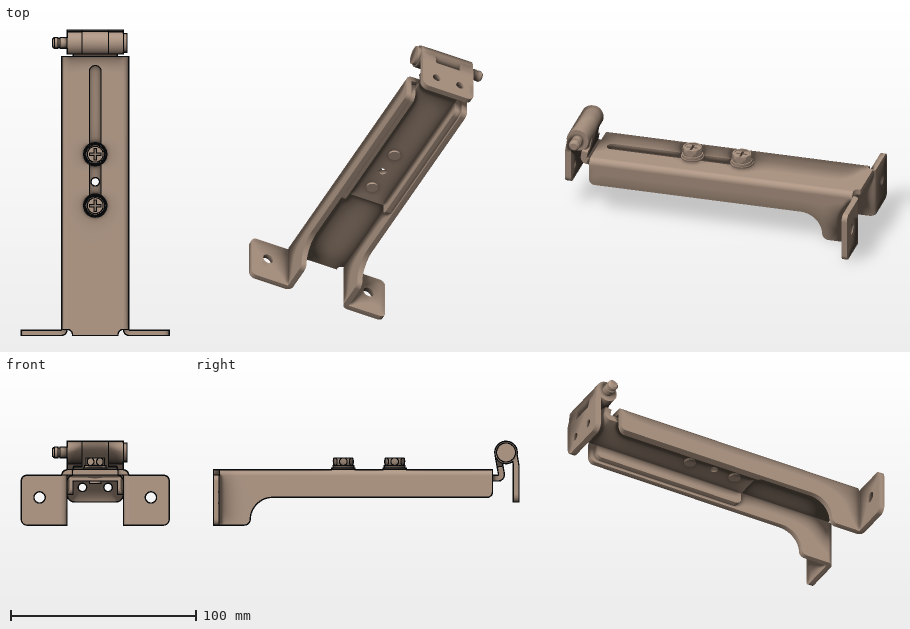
import cadquery as cq
import math

BRACKET_T = 3.0
BRACKET_WIDTH = 36.3
BRACKET_END = 150.6
BRACKET_TOP = 30.0
FLANGE_BOTTOM = BRACKET_TOP / 2
FLANGE_CORNER_R = 3.0
INNER_BEND_R = 0.3
OUTER_BEND_R = BRACKET_T + INNER_BEND_R
PLATE_UNDERSIDE = BRACKET_TOP - BRACKET_T
CHANNEL_INSIDE = BRACKET_WIDTH - 2 * BRACKET_T

LEG_DEPTH = 20.0
LEG_INNER_R = 12.0
LEG_CORNER_R = 3.3

WING_SPAN = 80.0
WING_CORNER_R = 3.3
WING_HOLE_D = 6.0
WING_HOLE_X = 30.0
WING_HOLE_Z = 15.0
RELIEF_WIDTH = 2.8
RELIEF_R = 2.6
RELIEF_DEPTH = OUTER_BEND_R

LEAF_T = 3.3
LEAF_WIDTH = CHANNEL_INSIDE
PIN_D = 6.0
KNUCKLE_R = 6.1
AXIS_Y = 157.9
OVERALL_HEIGHT = 45.4
AXIS_Z = OVERALL_HEIGHT - KNUCKLE_R
MIDDLE_KNUCKLE = 14.5
TILT = 10
SIN_TILT = math.sin(math.radians(TILT))
COS_TILT = math.cos(math.radians(TILT))
LEAF_OUTER_BEND_R = LEAF_T + INNER_BEND_R

WALL_LEAF_FACE = 165
WALL_LEAF_BOTTOM = 12.5
WALL_LEAF_CORNER_R = 4.0
WALL_HOLE_D = 4.5
WALL_HOLE_X = 7.0
WALL_HOLE_Z = 20.5
WINDOW_BOTTOM = 31.4

SLIDE_FRONT = 59.4
SLIDE_FLANGE_REAR = 148.5
SLIDE_FLANGE_BOTTOM = 16.7
SLIDE_FLANGE_R = 3.3
TONGUE_WIDTH = LEAF_WIDTH - 2 * LEAF_T
SHOULDER_DROP = 7.0
SHOULDER_R = 1.0
MIDDLE_HOLE_D = 4.5
MIDDLE_HOLE_Y = 83.0

PIN_TIP_X = -23.1
PIN_TIP_CHAMFER = 1.0
PIN_HEAD_X = 17.2
PIN_HEAD_D = 10.2
GROOVE_X = -19.6
GROOVE_WIDTH = 1.0
GROOVE_D = 5.0

BOLT_YS = (70.1, 97.8)
SHANK_D = 6.5
SHANK_TIP = 22.6
SLOT_WIDTH = SHANK_D
SLOT_END = 145.7
FLAT_WASHER_D = 12.5
FLAT_WASHER_T = 0.8
SPRING_WASHER_D = 11.4
SPRING_WASHER_T = 1.5
HEAD_HEIGHT = 4.0
HEAD_SPHERE_R = 5.5
HEAD_ACROSS_FLATS = 10.0
DISH_D = 8.5
DISH_DEPTH = 0.5
CROSS_LENGTH = 6.3
CROSS_WIDTH = 1.3
CROSS_CENTRE = 2.0
CROSS_DEPTH = 2.0


def box(x0, x1, y0, y1, z0, z1):
    return cq.Workplane("XY").box(x1 - x0, y1 - y0, z1 - z0, centered=False).translate((x0, y0, z0))


def rod_x(diameter, x0, x1):
    """Cylinder on the hinge axis."""
    return cq.Workplane("YZ", origin=(x0, AXIS_Y, AXIS_Z)).circle(diameter / 2).extrude(x1 - x0)


def drill_z(diameter, y):
    """Vertical cutter on the centre plane, through every plate of the channel."""
    return cq.Workplane("XY", origin=(0, y, 0)).circle(diameter / 2).extrude(BRACKET_TOP)


def channel(width, top, thickness, bottom, outer_r, y0, y1):
    """Downward-opening channel along Y with rounded bends."""
    outer = box(-width / 2, width / 2, y0, y1, bottom, top).edges("|Y and >Z").fillet(outer_r)
    inside = width / 2 - thickness
    inner = box(-inside, inside, y0, y1, bottom, top - thickness)
    return outer.cut(inner.edges("|Y and >Z").fillet(INNER_BEND_R))


def flange_outline():
    """Slab with the side profile of both flanges: shallow along the channel, deep at the front legs."""
    profile = (
        cq.Workplane("YZ", origin=(-WING_SPAN / 2, 0, 0))
        .moveTo(0, 0)
        .lineTo(LEG_DEPTH - LEG_CORNER_R, 0)
        .radiusArc((LEG_DEPTH, LEG_CORNER_R), -LEG_CORNER_R)
        .radiusArc((LEG_DEPTH + LEG_INNER_R, FLANGE_BOTTOM), LEG_INNER_R)
        .lineTo(BRACKET_END - FLANGE_CORNER_R, FLANGE_BOTTOM)
        .radiusArc((BRACKET_END, FLANGE_BOTTOM + FLANGE_CORNER_R), -FLANGE_CORNER_R)
        .lineTo(BRACKET_END, BRACKET_TOP)
        .lineTo(0, BRACKET_TOP)
        .close()
    )
    return profile.extrude(WING_SPAN)


def wing():
    """Right-hand mounting wing with the bend that joins it to its flange."""
    inner_x = CHANNEL_INSIDE / 2
    outer_x = BRACKET_WIDTH / 2
    tip_x = WING_SPAN / 2
    plan = (
        cq.Workplane("XY")
        .moveTo(inner_x, OUTER_BEND_R)
        .radiusArc((inner_x + OUTER_BEND_R, 0), -OUTER_BEND_R)
        .lineTo(tip_x, 0)
        .lineTo(tip_x, BRACKET_T)
        .lineTo(outer_x + INNER_BEND_R, BRACKET_T)
        .radiusArc((outer_x, OUTER_BEND_R), INNER_BEND_R)
        .close()
    )
    plate = plan.extrude(PLATE_UNDERSIDE).edges("|Y and >X").fillet(WING_CORNER_R)
    hole = cq.Workplane("XZ", origin=(WING_HOLE_X, BRACKET_T, WING_HOLE_Z)).circle(WING_HOLE_D / 2)
    return plate.cut(hole.extrude(BRACKET_T))


def bend_relief():
    """Cutter that frees the right-hand end of the top bend from its wing."""
    notch_x = CHANNEL_INSIDE / 2 - RELIEF_WIDTH
    notch = box(notch_x, BRACKET_WIDTH, -RELIEF_DEPTH, RELIEF_DEPTH, PLATE_UNDERSIDE, BRACKET_TOP)
    return notch.edges("|Z and <X and >Y").fillet(RELIEF_R)


def bolt_slot():
    first_y = BOLT_YS[0]
    last_y = SLOT_END - SLOT_WIDTH / 2
    middle = cq.Workplane("XY", origin=(0, (first_y + last_y) / 2, 0))
    return middle.slot2D(last_y - first_y + SLOT_WIDTH, SLOT_WIDTH, 90).extrude(BRACKET_TOP)


def make_bracket():
    body = channel(BRACKET_WIDTH, BRACKET_TOP, BRACKET_T, 0, OUTER_BEND_R, 0, BRACKET_END)
    body = body.intersect(flange_outline())
    flange_root = CHANNEL_INSIDE / 2 - INNER_BEND_R
    for side in (-1, 1):
        bend_x = sorted((side * flange_root, side * BRACKET_WIDTH / 2))
        body = body.cut(box(*bend_x, 0, OUTER_BEND_R, 0, PLATE_UNDERSIDE))
        body = body.cut(bend_relief().mirror("YZ") if side < 0 else bend_relief())
        body = body.union(wing().mirror("YZ") if side < 0 else wing())
    return body.cut(bolt_slot())


def leaf_point(side, radius, drop):
    """Point (y, z) on a tilted leaf face tangent to a circle about the hinge axis.

    `side` is 1 behind the axis and -1 in front; `drop` is measured down the face from the start
    of the leaf. Both leaves lean rearward going down.
    """
    return (
        AXIS_Y + side * radius * COS_TILT + drop * SIN_TILT,
        AXIS_Z - radius * SIN_TILT - drop * COS_TILT,
    )


def drop_to_y(side, radius, y):
    return (y - AXIS_Y - side * radius * COS_TILT) / SIN_TILT


def make_wall_leaf():
    core_r = KNUCKLE_R - LEAF_T
    half = LEAF_WIDTH / 2
    front_face = WALL_LEAF_FACE - LEAF_T
    rear_drop = drop_to_y(1, KNUCKLE_R, WALL_LEAF_FACE)
    front_drop = drop_to_y(1, core_r, front_face)
    profile = [
        leaf_point(1, core_r, 0),
        leaf_point(1, KNUCKLE_R, 0),
        leaf_point(1, KNUCKLE_R, rear_drop),
        (WALL_LEAF_FACE, WALL_LEAF_BOTTOM),
        (front_face, WALL_LEAF_BOTTOM),
        leaf_point(1, core_r, front_drop),
    ]
    plate = cq.Workplane("YZ", origin=(-half, 0, 0)).polyline(profile).close().extrude(LEAF_WIDTH)
    plate = plate.edges("|Y and <Z").fillet(WALL_LEAF_CORNER_R)
    leaf = plate.union(rod_x(2 * KNUCKLE_R, -half, half))
    gap = MIDDLE_KNUCKLE / 2
    window = box(-gap, gap, AXIS_Y - KNUCKLE_R, WALL_LEAF_FACE, WINDOW_BOTTOM, OVERALL_HEIGHT)
    leaf = leaf.cut(window)
    leaf = leaf.cut(rod_x(PIN_D, -half, half))
    holes = (
        cq.Workplane("XZ", origin=(0, WALL_LEAF_FACE, WALL_HOLE_Z))
        .pushPoints([(-WALL_HOLE_X, 0), (WALL_HOLE_X, 0)])
        .circle(WALL_HOLE_D / 2)
    )
    return leaf.cut(holes.extrude(LEAF_T))


def tongue():
    """Plate that runs back under the bracket, bends up and leans onto the middle knuckle."""
    core_r = KNUCKLE_R - LEAF_T
    top = PLATE_UNDERSIDE
    bottom = top - LEAF_T
    tangent_z = leaf_point(-1, KNUCKLE_R, 0)[1]
    core_z = leaf_point(-1, core_r, 0)[1]
    inner_bend = leaf_point(-1, KNUCKLE_R, (tangent_z - top) / COS_TILT)
    outer_bend = leaf_point(-1, core_r, (core_z - bottom) / COS_TILT)
    profile = [
        leaf_point(-1, KNUCKLE_R, 0),
        inner_bend,
        (SLIDE_FRONT, top),
        (SLIDE_FRONT, bottom),
        outer_bend,
        leaf_point(-1, core_r, 0),
    ]
    half = TONGUE_WIDTH / 2
    plate = cq.Workplane("YZ", origin=(-half, 0, 0)).polyline(profile).close().extrude(TONGUE_WIDTH)
    plate = plate.edges(cq.NearestToPointSelector((0, *inner_bend))).fillet(INNER_BEND_R)
    return plate.edges(cq.NearestToPointSelector((0, *outer_bend))).fillet(LEAF_OUTER_BEND_R)


def shoulder_cut(side):
    """Tilted cutter that narrows the tongue to the middle knuckle and rounds the shoulder."""
    inner_x = MIDDLE_KNUCKLE / 2
    width = TONGUE_WIDTH / 2 - inner_x
    deep = LEAF_T * 3
    y, z = leaf_point(-1, KNUCKLE_R, SHOULDER_DROP)
    outline = (
        cq.Workplane("XZ")
        .lineTo(width - SHOULDER_R, 0)
        .radiusArc((width, -SHOULDER_R), SHOULDER_R)
        .lineTo(width, deep)
        .lineTo(0, deep)
        .close()
    )
    cutter = outline.extrude(deep, both=True).rotate((0, 0, 0), (1, 0, 0), TILT)
    cutter = cutter.translate((inner_x, y, z))
    return cutter if side > 0 else cutter.mirror("YZ")


def make_sliding_leaf():
    slide = channel(
        LEAF_WIDTH,
        PLATE_UNDERSIDE,
        LEAF_T,
        SLIDE_FLANGE_BOTTOM,
        LEAF_OUTER_BEND_R,
        SLIDE_FRONT,
        SLIDE_FLANGE_REAR,
    )
    slide = slide.edges("|X and <Z").fillet(SLIDE_FLANGE_R)
    plate = tongue()
    for side in (-1, 1):
        plate = plate.cut(shoulder_cut(side))
    half_knuckle = MIDDLE_KNUCKLE / 2
    leaf = slide.union(plate).union(rod_x(2 * KNUCKLE_R, -half_knuckle, half_knuckle))
    leaf = leaf.cut(rod_x(PIN_D, -half_knuckle, half_knuckle))
    leaf = leaf.cut(drill_z(MIDDLE_HOLE_D, MIDDLE_HOLE_Y))
    for y in BOLT_YS:
        leaf = leaf.cut(drill_z(SHANK_D, y))
    return leaf


def make_pin():
    shank = rod_x(PIN_D, PIN_TIP_X, PIN_HEAD_X).faces("<X").chamfer(PIN_TIP_CHAMFER)
    groove_ends = (GROOVE_X - GROOVE_WIDTH / 2, GROOVE_X + GROOVE_WIDTH / 2)
    groove = rod_x(PIN_D, *groove_ends).cut(rod_x(GROOVE_D, *groove_ends))
    return shank.cut(groove).union(rod_x(PIN_HEAD_D, LEAF_WIDTH / 2, PIN_HEAD_X))


FLAT_WASHER_TOP = BRACKET_TOP + FLAT_WASHER_T
HEAD_SEAT = FLAT_WASHER_TOP + SPRING_WASHER_T
HEAD_TOP = HEAD_SEAT + HEAD_HEIGHT


def make_washer(diameter, thickness, seat, y):
    return cq.Workplane("XY", origin=(0, y, seat)).circle(diameter / 2).circle(SHANK_D / 2).extrude(thickness)


def head_recess(y):
    """Cutter for the round dish and the cross in its floor."""
    floor = cq.Workplane("XY", origin=(0, y, HEAD_TOP - CROSS_DEPTH))
    recess = floor.rect(CROSS_LENGTH, CROSS_WIDTH).extrude(CROSS_DEPTH)
    recess = recess.union(floor.rect(CROSS_WIDTH, CROSS_LENGTH).extrude(CROSS_DEPTH))
    centre = floor.transformed(rotate=(0, 0, 45)).rect(CROSS_CENTRE, CROSS_CENTRE)
    recess = recess.union(centre.extrude(CROSS_DEPTH))
    dish = cq.Workplane("XY", origin=(0, y, HEAD_TOP - DISH_DEPTH)).circle(DISH_D / 2)
    return recess.union(dish.extrude(DISH_DEPTH))


def make_bolt(y):
    """Hexagon head cut from a ball, so that each flat is a disc, on a plain shank."""
    hexagon = cq.Workplane("XY", origin=(0, y, HEAD_SEAT))
    corner_d = HEAD_ACROSS_FLATS / math.cos(math.pi / 6)
    hexagon = hexagon.transformed(rotate=(0, 0, 30)).polygon(6, corner_d).extrude(HEAD_HEIGHT)
    ball = cq.Workplane("XY").sphere(HEAD_SPHERE_R).translate((0, y, HEAD_SEAT + HEAD_HEIGHT / 2))
    shank = cq.Workplane("XY", origin=(0, y, SHANK_TIP)).circle(SHANK_D / 2).extrude(HEAD_SEAT - SHANK_TIP)
    return hexagon.intersect(ball).cut(head_recess(y)).union(shank)


bracket = make_bracket()
wall_leaf = make_wall_leaf()
sliding_leaf = make_sliding_leaf()
pin = make_pin()

bolts = []
spring_washers = []
flat_washers = []
for bolt_y in BOLT_YS:
    bolts.append(make_bolt(bolt_y).val())
    spring_washers.append(make_washer(SPRING_WASHER_D, SPRING_WASHER_T, FLAT_WASHER_TOP, bolt_y).val())
    flat_washers.append(make_washer(FLAT_WASHER_D, FLAT_WASHER_T, BRACKET_TOP, bolt_y).val())

result = cq.Compound.makeCompound([
    bracket.val(),
    wall_leaf.val(),
    sliding_leaf.val(),
    pin.val(),
    *bolts,
    *spring_washers,
    *flat_washers,
])